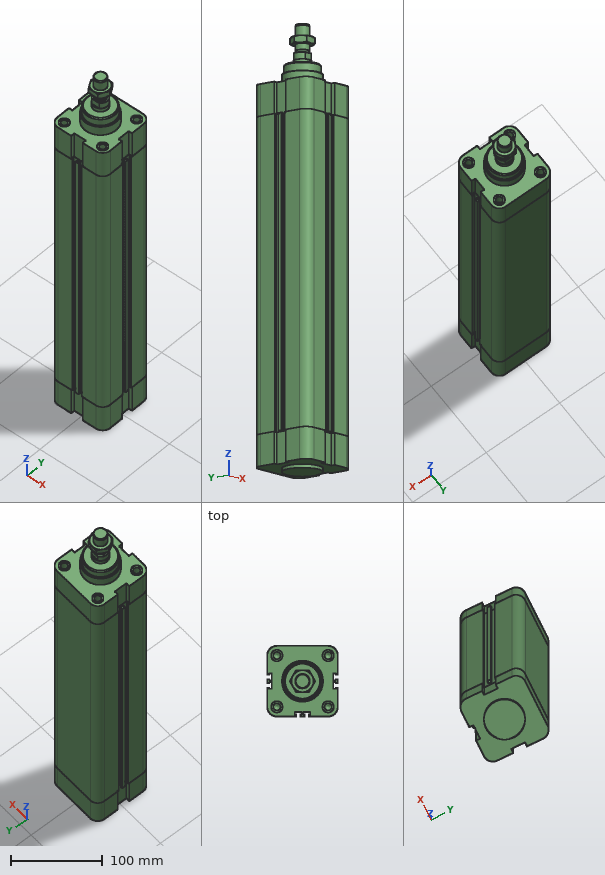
import cadquery as cq
import math


TOTAL_HEIGHT = 499.0
BODY_WIDTH = 77.5
CORNER_RADIUS = 11.0

REAR_BOSS_HEIGHT = 4.0
CAP_HEIGHT = 36.0
CAP_TOP_Z = 430.5
REAR_CAP_TOP_Z = REAR_BOSS_HEIGHT + CAP_HEIGHT
FRONT_CAP_BOTTOM_Z = CAP_TOP_Z - CAP_HEIGHT

CAP_SLOT_WIDTH = 16.5
CAP_SLOT_DEPTH = 5.0
LIP_DEPTH = 2.5
MOUTH_WIDTH = 14.0
CHAMBER_WIDTH = 18.0
RIB_HEAD_WIDTH = 4.5
RIB_STEM_WIDTH = 2.0
SLOTTED_SIDE_ANGLES = (0, 180, 270)

PILOT_DIAMETER = 45.0
PILOT_HEIGHT = 13.0
PILOT_CHAMFER = 0.5
COLLAR_DIAMETER = 41.0
COLLAR_HEIGHT = 10.5
COLLAR_CHAMFER = 1.5
COLLAR_TOP_Z = CAP_TOP_Z + PILOT_HEIGHT + COLLAR_HEIGHT

SCREW_OFFSET = 28.0
SCREW_RECESS_DIAMETER = 12.5
SCREW_RECESS_DEPTH = 1.0
SCREW_HOLE_DIAMETER = 8.0
SCREW_HOLE_DEPTH = 15.0
SCREW_CONE_DEPTH = 3.0

ROD_DIAMETER = 20.0
ROD_TOP_Z = 467.0
WRENCH_DIAMETER = 19.5
WRENCH_HEIGHT = 8.0
FLATS_WIDTH = 16.5
NECK_DIAMETER = 14.5
NECK_HEIGHT = 3.0
THREAD_DIAMETER = 16.0
TIP_CHAMFER_WIDTH = 0.75
TIP_CHAMFER_HEIGHT = 2.0

NUT_ACROSS_FLATS = 24.0
NUT_HEIGHT = 8.0
NUT_BOTTOM_Z = 477.0
NUT_CHAMFER_ANGLE = 30


def cylinder(diameter, bottom_z, height):
    """Upright cylinder on the part axis."""
    return cq.Workplane("XY").workplane(offset=bottom_z).circle(diameter / 2).extrude(height)


def rounded_bar(bottom_z, height):
    """Square bar with rounded upright edges."""
    bar = cq.Workplane("XY").workplane(offset=bottom_z).rect(BODY_WIDTH, BODY_WIDTH).extrude(height)
    return bar.edges("|Z").fillet(CORNER_RADIUS)


def side_block(bottom_z, height, width, outer_depth, inner_depth):
    """Upright block centred on the +X side, between two depths below the side face."""
    return (
        cq.Workplane("XY")
        .workplane(offset=bottom_z)
        .center(BODY_WIDTH / 2 - (outer_depth + inner_depth) / 2, 0)
        .rect(inner_depth - outer_depth, width)
        .extrude(height)
    )


def cut_side_slots(body, slot):
    """Cut a slot made for the +X side into every slotted side."""
    for angle in SLOTTED_SIDE_ANGLES:
        body = body.cut(slot.rotate((0, 0, 0), (0, 0, 1), angle))
    return body


def make_cap(bottom_z):
    """Plain end cap with one wide slot in each slotted side."""
    slot = side_block(bottom_z, CAP_HEIGHT, CAP_SLOT_WIDTH, 0, CAP_SLOT_DEPTH)
    return cut_side_slots(rounded_bar(bottom_z, CAP_HEIGHT), slot)


def screw_hole_cutter():
    """Recessed blind hole with a conical bottom, standing on the axis under the front cap's top face."""
    recess_radius = SCREW_RECESS_DIAMETER / 2
    recess_bottom_z = CAP_TOP_Z - SCREW_RECESS_DEPTH
    radius = SCREW_HOLE_DIAMETER / 2
    wall_bottom_z = CAP_TOP_Z - SCREW_HOLE_DEPTH
    return (
        cq.Workplane("XZ")
        .moveTo(0, CAP_TOP_Z)
        .lineTo(recess_radius, CAP_TOP_Z)
        .lineTo(recess_radius, recess_bottom_z)
        .lineTo(radius, recess_bottom_z)
        .lineTo(radius, wall_bottom_z)
        .lineTo(0, wall_bottom_z - SCREW_CONE_DEPTH)
        .close()
        .revolve(360, (0, 0, 0), (0, 1, 0))
    )


def make_front_cap():
    """Front cap with stepped boss, screw holes and a bore for the rod."""
    cap = make_cap(FRONT_CAP_BOTTOM_Z)
    for x in (-SCREW_OFFSET, SCREW_OFFSET):
        for y in (-SCREW_OFFSET, SCREW_OFFSET):
            cap = cap.cut(screw_hole_cutter().translate((x, y, 0)))
    pilot = cylinder(PILOT_DIAMETER, CAP_TOP_Z, PILOT_HEIGHT).faces(">Z").chamfer(PILOT_CHAMFER)
    collar = cylinder(COLLAR_DIAMETER, CAP_TOP_Z + PILOT_HEIGHT, COLLAR_HEIGHT)
    collar = collar.faces(">Z").chamfer(COLLAR_CHAMFER)
    rod_bore = cylinder(ROD_DIAMETER, FRONT_CAP_BOTTOM_Z, COLLAR_TOP_Z - FRONT_CAP_BOTTOM_Z)
    return cap.union(pilot).union(collar).cut(rod_bore)


def make_rear_cap():
    """Rear cap with a short centring boss below it."""
    boss = cylinder(PILOT_DIAMETER, 0, REAR_BOSS_HEIGHT)
    return make_cap(REAR_BOSS_HEIGHT).union(boss)


def make_profile():
    """Barrel profile with a T-slot in each slotted side and a T-shaped rib along its middle."""
    height = FRONT_CAP_BOTTOM_Z - REAR_CAP_TOP_Z
    mouth = side_block(REAR_CAP_TOP_Z, height, MOUTH_WIDTH, 0, LIP_DEPTH)
    rib_head = side_block(REAR_CAP_TOP_Z, height, RIB_HEAD_WIDTH, 0, LIP_DEPTH)
    chamber = side_block(REAR_CAP_TOP_Z, height, CHAMBER_WIDTH, LIP_DEPTH, CAP_SLOT_DEPTH)
    rib_stem = side_block(REAR_CAP_TOP_Z, height, RIB_STEM_WIDTH, LIP_DEPTH, CAP_SLOT_DEPTH)
    slot = mouth.union(chamber).cut(rib_head).cut(rib_stem)
    return cut_side_slots(rounded_bar(REAR_CAP_TOP_Z, height), slot)


def make_rod():
    """Piston rod with wrench flats facing -Y and +Y, an undercut neck and a threaded tip."""
    wrench_bottom_z = ROD_TOP_Z - WRENCH_HEIGHT
    shank = cylinder(ROD_DIAMETER, FRONT_CAP_BOTTOM_Z, wrench_bottom_z - FRONT_CAP_BOTTOM_Z)
    wrench_slab = (
        cq.Workplane("XY")
        .workplane(offset=wrench_bottom_z)
        .rect(WRENCH_DIAMETER, FLATS_WIDTH)
        .extrude(WRENCH_HEIGHT)
    )
    wrench_section = cylinder(WRENCH_DIAMETER, wrench_bottom_z, WRENCH_HEIGHT).intersect(wrench_slab)
    neck = cylinder(NECK_DIAMETER, ROD_TOP_Z, NECK_HEIGHT)
    thread_bottom_z = ROD_TOP_Z + NECK_HEIGHT
    thread = cylinder(THREAD_DIAMETER, thread_bottom_z, TOTAL_HEIGHT - thread_bottom_z)
    thread = thread.faces(">Z").edges().chamfer(TIP_CHAMFER_HEIGHT, TIP_CHAMFER_WIDTH)
    return shank.union(wrench_section).union(neck).union(thread)


def make_nut():
    """Hexagon nut with corners pointing along X, chamfered on both faces."""
    corner_diameter = NUT_ACROSS_FLATS / math.cos(math.pi / 6)
    chamfer_width = (corner_diameter - NUT_ACROSS_FLATS) / 2
    chamfer_height = chamfer_width * math.tan(math.radians(NUT_CHAMFER_ANGLE))
    hexagon = (
        cq.Workplane("XY")
        .workplane(offset=NUT_BOTTOM_Z)
        .polygon(6, corner_diameter)
        .extrude(NUT_HEIGHT)
    )
    envelope = cylinder(corner_diameter, NUT_BOTTOM_Z, NUT_HEIGHT)
    envelope = envelope.faces("<Z or >Z").edges().chamfer(chamfer_height, chamfer_width)
    return hexagon.intersect(envelope).cut(cylinder(THREAD_DIAMETER, NUT_BOTTOM_Z, NUT_HEIGHT))


front_cap = make_front_cap()
rear_cap = make_rear_cap()
profile = make_profile()
rod = make_rod()
nut = make_nut()

result = cq.Compound.makeCompound(
    [front_cap.val(), rear_cap.val(), profile.val(), rod.val(), nut.val()]
)